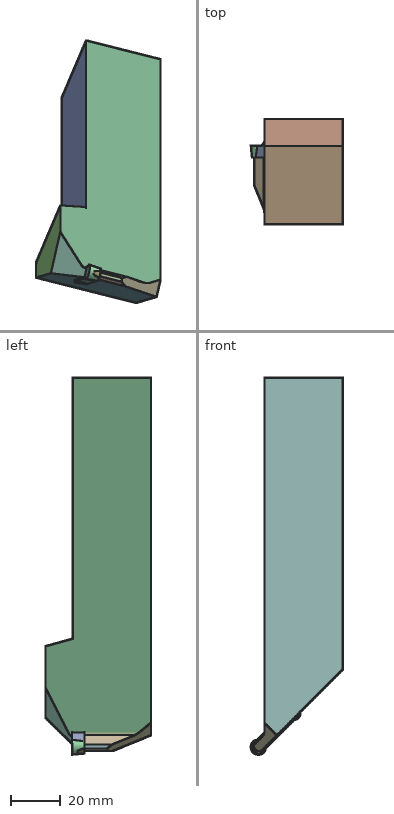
import cadquery as cq
import math

SHANK_WIDTH = 31.7
HEAD_DEPTH = 42.7
TOTAL_HEIGHT = 152.4
STEP_BOTTOM_Z = 43.9
STEP_TOP_Z = 47.0

CUT_RADIUS = 3.0
RELIEF_RADIUS = 2.6
OVERHANG = 5.5
NECK_HALF_WIDTH = 2.5
NOSE_FLAT_RADIUS = 2.1
NOSE_FLAT_SLOPE = 3.0
END_SPACING = 19.8
INSERT_FRONT_Y = 27.0
INSERT_BACK_Y = 31.9
TIP_X = CUT_RADIUS - OVERHANG
TIP_Z = CUT_RADIUS
INSERT_THICKNESS = INSERT_BACK_Y - INSERT_FRONT_Y

AXIS_RISE = TIP_Z - TIP_X
FLANK_RISE = 2.7
LOWER_RISE = AXIS_RISE - FLANK_RISE
UPPER_RISE = AXIS_RISE + FLANK_RISE
SEAT_RISE = AXIS_RISE + NECK_HALF_WIDTH * math.sqrt(2)
BLADE_LEFT_X = -4.1
BLADE_BOTTOM_Z = 1.5
BLADE_CHAMFER = 1.0
SHOULDER_X = -0.3

FRONT_BEVEL_START = 13.0
FRONT_BEVEL_SLOPE = 1.22
REAR_BEVEL_START = 27.1
REAR_BEVEL_SLOPE = 0.51
BEVEL_REACH = 30.5


def extrude_back(outline, front_y, depth):
    """Extrude a closed XZ outline toward +Y, starting at front_y."""
    plane = cq.Workplane("XZ", origin=(0, front_y, 0))
    return plane.polyline(outline).close().extrude(-depth)


def make_bevel_cutter(start_sum, start_y, slope):
    """Wedge square to the insert axis; its face climbs by slope in Y per unit of falling X + Z."""
    plane = cq.Plane(origin=(0, 0, 0), xDir=(1, 0, 1), normal=(-1, 0, 1))
    start = start_sum / math.sqrt(2)
    end = (start_sum - BEVEL_REACH) / math.sqrt(2)
    end_y = start_y + slope * BEVEL_REACH
    outline = [(start, start_y), (end, start_y), (end, end_y)]
    return cq.Workplane(plane).polyline(outline).close().extrude(TOTAL_HEIGHT, both=True)


def make_insert():
    """Two tapered round cutting ends joined by a straight neck, with a flat on the nose."""
    body = (
        cq.Workplane("XY")
        .box(END_SPACING, INSERT_THICKNESS, 2 * NECK_HALF_WIDTH, centered=(False, False, True))
        .rotate((0, 0, 0), (0, 1, 0), -45)
        .translate((TIP_X, INSERT_FRONT_Y, TIP_Z))
    )
    for distance in (0, END_SPACING):
        shift = distance / math.sqrt(2)
        base = cq.Vector(TIP_X + shift, INSERT_FRONT_Y, TIP_Z + shift)
        cone = cq.Solid.makeCone(
            RELIEF_RADIUS, CUT_RADIUS, INSERT_THICKNESS, base, cq.Vector(0, 1, 0)
        )
        body = body.union(cq.Workplane(obj=cone))

    flat_sum = TIP_X + TIP_Z - NOSE_FLAT_RADIUS * math.sqrt(2)
    nose_flat = make_bevel_cutter(flat_sum, INSERT_FRONT_Y, NOSE_FLAT_SLOPE)
    return body.cut(nose_flat)


def make_holder(insert):
    """Square shank with a deeper head, support blade and insert pocket."""
    outline = [
        (0, TOTAL_HEIGHT),
        (SHANK_WIDTH, TOTAL_HEIGHT),
        (SHANK_WIDTH, SHANK_WIDTH + LOWER_RISE),
        (BLADE_BOTTOM_Z - LOWER_RISE, BLADE_BOTTOM_Z),
        (BLADE_LEFT_X + BLADE_CHAMFER, BLADE_BOTTOM_Z),
        (BLADE_LEFT_X, BLADE_BOTTOM_Z + BLADE_CHAMFER),
        (BLADE_LEFT_X, BLADE_LEFT_X + UPPER_RISE),
        (SHOULDER_X, SHOULDER_X + UPPER_RISE),
        (0, SEAT_RISE),
    ]
    body = extrude_back(outline, 0, HEAD_DEPTH)

    shank_relief = (
        cq.Workplane("YZ")
        .polyline([
            (SHANK_WIDTH, TOTAL_HEIGHT),
            (SHANK_WIDTH, STEP_TOP_Z),
            (HEAD_DEPTH, STEP_BOTTOM_Z),
            (HEAD_DEPTH, TOTAL_HEIGHT),
        ])
        .close()
        .extrude(SHANK_WIDTH)
    )
    front_bevel = make_bevel_cutter(FRONT_BEVEL_START, 0, FRONT_BEVEL_SLOPE)
    rear_bevel = make_bevel_cutter(REAR_BEVEL_START, HEAD_DEPTH, -REAR_BEVEL_SLOPE)
    return body.cut(shank_relief).cut(front_bevel).cut(rear_bevel).cut(insert)


insert = make_insert()
holder = make_holder(insert)
result = cq.Compound.makeCompound([holder.solids().val(), insert.solids().val()])